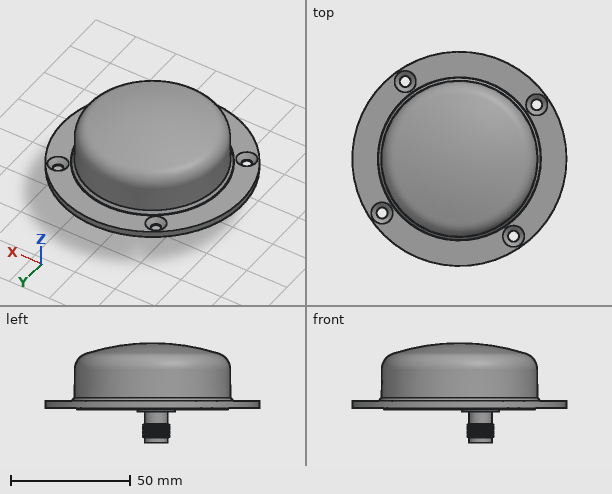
import cadquery as cq
import math

FLANGE_RADIUS = 45.0
FLANGE_THICKNESS = 3.0

PAD_TOP_RADIUS = 32.2
PAD_SLOPE = 0.8
PAD_HEIGHT = 0.8

HOUSING_BASE_RADIUS = 32.85
FOOT_FLARE = 1.2
FOOT_HEIGHT = 1.35
HOUSING_SHOULDER_RADIUS = 32.7
SHOULDER_Z = 16.3
CROWN_EDGE_RADIUS = 27.3
CROWN_EDGE_Z = 23.0
CROWN_TOP_Z = 27.3

GROOVE_WIDTH = 0.3
GROOVE_DEPTH = 0.45

SCREW_COUNT = 4
SCREW_CIRCLE_RADIUS = 39.6
SCREW_START_ANGLE = 35.0
SCREW_HOLE_DIAMETER = 4.5
COUNTERSINK_DIAMETER = 9.0
COUNTERSINK_ANGLE = 90.0

CONNECTOR_OFFSET = 9.0
CONNECTOR_ANGLE = -10.0
COLLAR_RADIUS = 7.9
COLLAR_BOTTOM_Z = -1.6
BARREL_RADIUS = 4.9
BARREL_BOTTOM_Z = -14.6
THREAD_RADIUS = 5.6
THREAD_TOP_Z = -6.7
THREAD_PITCH = 0.73
THREAD_RIDGES = 8


def polar_point(radius, angle):
    """X and Y of a point at a radius and an angle in degrees about the main axis."""
    turn = math.radians(angle)
    return radius * math.cos(turn), radius * math.sin(turn)


def make_body():
    """Flange, pad, groove and domed housing as one turned profile (X is the radius, Y the height)."""
    foot_radius = HOUSING_BASE_RADIUS + FOOT_FLARE
    groove_radius = foot_radius + GROOVE_WIDTH
    groove_floor_z = FLANGE_THICKNESS - GROOVE_DEPTH
    crown_sphere_radius = (CROWN_EDGE_RADIUS**2 + (CROWN_TOP_Z - CROWN_EDGE_Z) ** 2) / (
        2 * (CROWN_TOP_Z - CROWN_EDGE_Z)
    )
    return (
        cq.Workplane("XZ")
        .moveTo(0, -PAD_HEIGHT)
        .lineTo(PAD_TOP_RADIUS - PAD_SLOPE, -PAD_HEIGHT)
        .lineTo(PAD_TOP_RADIUS, 0)
        .lineTo(FLANGE_RADIUS, 0)
        .lineTo(FLANGE_RADIUS, FLANGE_THICKNESS)
        .lineTo(groove_radius, FLANGE_THICKNESS)
        .lineTo(groove_radius, groove_floor_z)
        .lineTo(foot_radius, groove_floor_z)
        .lineTo(foot_radius, FLANGE_THICKNESS)
        .lineTo(HOUSING_BASE_RADIUS, FLANGE_THICKNESS + FOOT_HEIGHT)
        .lineTo(HOUSING_SHOULDER_RADIUS, SHOULDER_Z)
        .tangentArcPoint((CROWN_EDGE_RADIUS, CROWN_EDGE_Z), relative=False)
        .radiusArc((0, CROWN_TOP_Z), -crown_sphere_radius)
        .close()
        .revolve(360, (0, 0), (0, 1))
    )


def make_connector():
    """Collar, barrel and ring ridges as one turned profile, moved to the connector axis."""
    profile = (
        cq.Workplane("XZ")
        .moveTo(0, 0)
        .lineTo(COLLAR_RADIUS, 0)
        .lineTo(COLLAR_RADIUS, COLLAR_BOTTOM_Z)
        .lineTo(BARREL_RADIUS, COLLAR_BOTTOM_Z)
        .lineTo(BARREL_RADIUS, THREAD_TOP_Z)
    )
    for ridge in range(THREAD_RIDGES):
        ridge_top_z = THREAD_TOP_Z - ridge * THREAD_PITCH
        profile = profile.lineTo(THREAD_RADIUS, ridge_top_z - THREAD_PITCH / 2)
        profile = profile.lineTo(BARREL_RADIUS, ridge_top_z - THREAD_PITCH)
    connector = (
        profile.lineTo(BARREL_RADIUS, BARREL_BOTTOM_Z)
        .lineTo(0, BARREL_BOTTOM_Z)
        .close()
        .revolve(360, (0, 0), (0, 1))
    )
    return connector.translate((*polar_point(CONNECTOR_OFFSET, CONNECTOR_ANGLE), 0))


def cut_screw_holes(body):
    """Countersunk through holes, evenly spaced around the flange."""
    centres = [
        polar_point(SCREW_CIRCLE_RADIUS, SCREW_START_ANGLE + index * 360 / SCREW_COUNT)
        for index in range(SCREW_COUNT)
    ]
    return (
        body.copyWorkplane(cq.Workplane("XY", origin=(0, 0, FLANGE_THICKNESS)))
        .pushPoints(centres)
        .cskHole(SCREW_HOLE_DIAMETER, COUNTERSINK_DIAMETER, COUNTERSINK_ANGLE)
    )


result = cut_screw_holes(make_body()).union(make_connector())